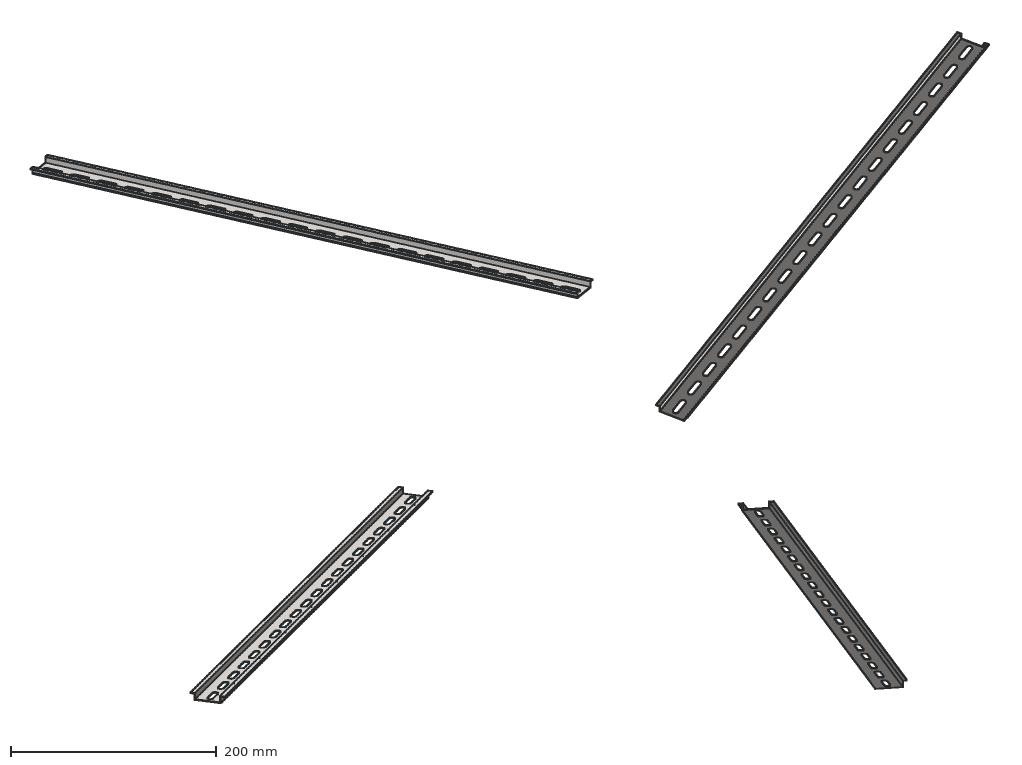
import cadquery as cq

length = 600
width = 35.5
thickness = 1.0
wall_rise = 5.5
height = wall_rise + 2 * thickness
channel_width = 27.5

slot_count = 20
slot_pitch = length / slot_count
slot_length = 20.5
slot_width = 6.0


def block(size_y, size_z, bottom):
    """Full-length bar centred on Y, starting at the given height."""
    bar = cq.Workplane("XY").box(length, size_y, size_z)
    return bar.translate((0, 0, bottom + size_z / 2))


def make_rail():
    """Channel with a flange turned outward at the top of each wall."""
    channel = block(channel_width, height, 0)
    flanges = block(width, thickness, height - thickness)
    cavity = block(channel_width - 2 * thickness, height, thickness)
    return channel.union(flanges).cut(cavity).translate((0, 0, -height / 2))


def make_slots():
    """Evenly pitched cutters, half a pitch in from each end."""
    return (
        cq.Workplane("XY")
        .workplane(offset=-height)
        .rarray(slot_pitch, 6, slot_count, 1)
        .slot2D(slot_length, slot_width)
        .extrude(2 * height)
    )


result = make_rail().cut(make_slots())